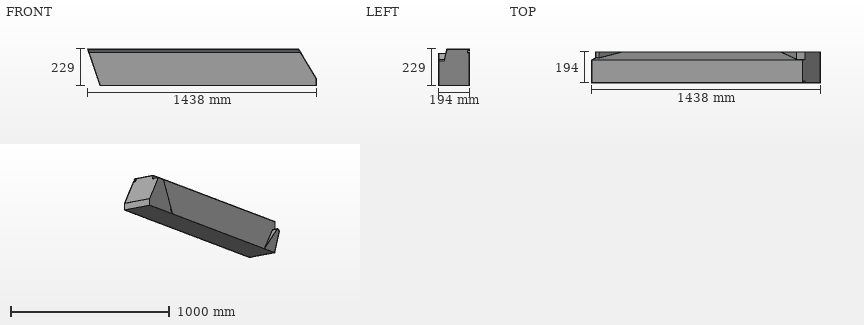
import cadquery as cq

length = 1438.0
depth = 194.0
height = 229.0

left_overhang = 78.0
right_setback = 111.0
right_flat_height = 43.0

top_depth = 142.0

groove_depth = 12.0
groove_top = 219.0
groove_height = 12.0

left_foot_edge_height = 155.0
left_foot_ridge_x = 47.0
left_foot_ridge_height = 164.0
left_foot_base_x = 191.0
right_foot_height = 203.0
right_foot_top_x = 1289.0
right_foot_base_x = 1190.0


def left_end_x(z):
    """X of the sloping left end at height z."""
    return left_overhang * (1 - z / height)


def right_end_x(z):
    """X of the sloping right end at height z, above its vertical flat."""
    return length - right_setback * (z - right_flat_height) / (height - right_flat_height)


def extrude_side_outline(points):
    """Extrude an XZ outline from the front plane through the full depth."""
    return cq.Workplane("XZ").polyline(points).close().extrude(-depth)


envelope = extrude_side_outline([
    (left_end_x(0), 0),
    (length, 0),
    (length, right_flat_height),
    (right_end_x(height), height),
    (left_end_x(height), height),
])

groove_bottom = groove_top - groove_height
section = (
    cq.Workplane("YZ")
    .polyline([
        (0, 0),
        (depth, 0),
        (top_depth, height),
        (0, height),
        (0, groove_top),
        (groove_depth, groove_top),
        (groove_depth, groove_bottom),
        (0, groove_bottom),
    ])
    .close()
    .extrude(length)
)
beam = envelope.intersect(section)

back_zone = cq.Workplane("XY").box(length, depth - groove_depth, height, centered=False)
back_zone = back_zone.translate((0, groove_depth, 0))

left_foot = extrude_side_outline([
    (left_end_x(0), 0),
    (left_foot_base_x, 0),
    (left_foot_ridge_x, left_foot_ridge_height),
    (left_end_x(left_foot_edge_height), left_foot_edge_height),
])

right_foot = extrude_side_outline([
    (right_foot_base_x, 0),
    (length, 0),
    (length, right_flat_height),
    (right_end_x(right_foot_height), right_foot_height),
    (right_foot_top_x, right_foot_height),
])

feet = left_foot.union(right_foot).intersect(back_zone)
result = beam.union(feet)